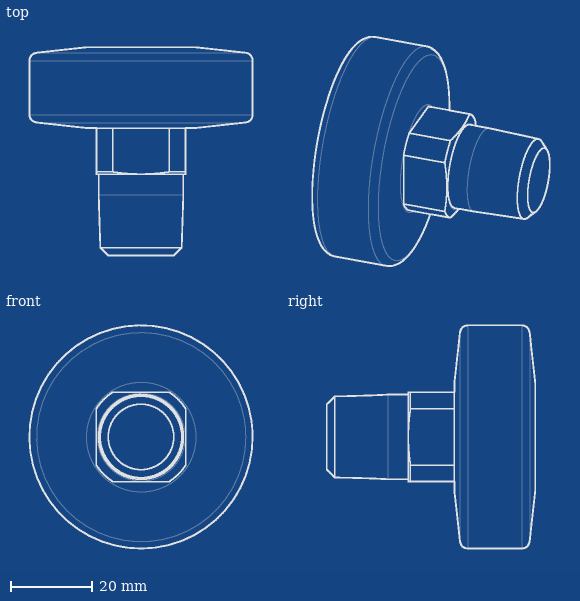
import cadquery as cq
import math

total_length = 51.3

head_diameter = 55.0
head_thickness = 19.9
hub_diameter = 27.0
head_face_drop = 1.55
rim_radius = 2.0

shank_diameter = 20.9
shank_length = 20.0
shank_straight_length = 5.0
tip_chamfer = 2.0
taper_ratio = 1 / 16

neck_length = total_length - head_thickness - shank_length
neck_width = 22.0
neck_corner_diameter = 26.0
neck_face_diameter = 21.6
neck_bevel_angle = 15.0

head_half = head_thickness / 2
neck_end = -head_half - neck_length
tip_end = neck_end - shank_length


def revolve_about_y(points):
    """Revolve a closed (radius, y) outline about the Y axis."""
    return cq.Workplane("XY").polyline(points).close().revolve(360, (0, 0, 0), (0, 1, 0))


def make_head():
    hub_radius = hub_diameter / 2
    head_radius = head_diameter / 2
    rim_half = head_half - head_face_drop
    head = revolve_about_y([
        (0, -head_half),
        (hub_radius, -head_half),
        (head_radius, -rim_half),
        (head_radius, rim_half),
        (hub_radius, head_half),
        (0, head_half),
    ])
    rim_edges = cq.selectors.RadiusNthSelector(-1)
    return head.edges("%CIRCLE").edges(rim_edges).fillet(rim_radius)


def make_neck():
    corner_radius = neck_corner_diameter / 2
    face_radius = neck_face_diameter / 2
    bevel_length = (corner_radius - face_radius) * math.tan(math.radians(neck_bevel_angle))
    bevelled_round = revolve_about_y([
        (0, 0),
        (corner_radius, 0),
        (corner_radius, neck_end + bevel_length),
        (face_radius, neck_end),
        (0, neck_end),
    ])
    square_bar = cq.Workplane("XZ").rect(neck_width, neck_width).extrude(-neck_end)
    return square_bar.intersect(bevelled_round)


def make_shank():
    shank_radius = shank_diameter / 2
    taper_length = shank_length - shank_straight_length - tip_chamfer
    taper_end_radius = shank_radius - taper_length * taper_ratio / 2
    return revolve_about_y([
        (0, neck_end),
        (shank_radius, neck_end),
        (shank_radius, neck_end - shank_straight_length),
        (taper_end_radius, tip_end + tip_chamfer),
        (taper_end_radius - tip_chamfer, tip_end),
        (0, tip_end),
    ])


result = make_head().union(make_neck()).union(make_shank())